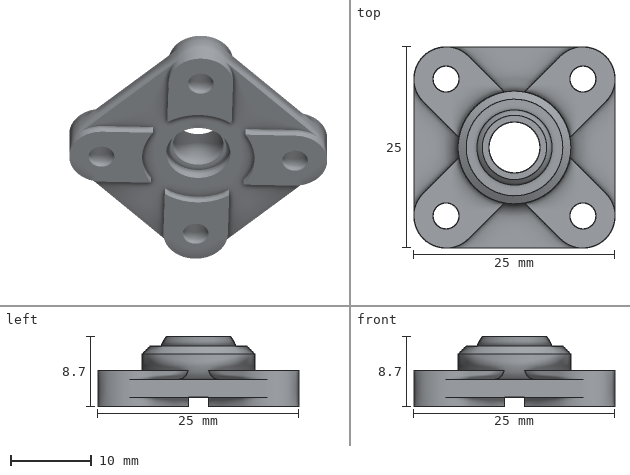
import cadquery as cq
import math

flange_width = 25.0
bolt_offset = 8.5
lug_radius = flange_width / 2 - bolt_offset
bolt_hole_diameter = 3.2
lug_height = 4.5
plate_bottom = 1.12
plate_top = 3.38

hub_radius = 7.0
hub_top = 7.5
hub_chamfer = 1.0
hub_fillet = 1.5

ball_radius = 5.0
ball_width = 6.0
ball_top = 8.7
ball_bore_radius = 3.15
ball_center = ball_top - ball_width / 2
ball_bottom = ball_top - ball_width
ball_face_radius = math.sqrt(ball_radius**2 - (ball_width / 2) ** 2)

corners = [(x, y) for x in (-bolt_offset, bolt_offset) for y in (-bolt_offset, bolt_offset)]


def make_plate():
    """Thin square plate whose corners are cut off inside the round arm ends."""
    return (
        cq.Workplane("XY", origin=(0, 0, plate_bottom))
        .rect(flange_width, flange_width)
        .extrude(plate_top - plate_bottom)
        .edges("|Z")
        .chamfer(lug_radius)
    )


def make_arms():
    """Two crossed diagonal arms with round ends, open below the plate inside the hub radius."""
    slot_length = 2 * math.hypot(bolt_offset, bolt_offset) + 2 * lug_radius
    arms = cq.Workplane("XY")
    for angle in (45, -45):
        arm = cq.Workplane("XY").slot2D(slot_length, 2 * lug_radius, angle).extrude(lug_height)
        arms = arms.union(arm)
    underside_recess = cq.Workplane("XY").circle(hub_radius).extrude(plate_bottom)
    return arms.cut(underside_recess)


def make_hub():
    """Turned hub with a chamfered rim and a concave fillet flowing onto the plate."""
    fillet_top = plate_top + hub_fillet
    arc_offset = hub_fillet * (1 - math.sqrt(0.5))
    return (
        cq.Workplane("XZ")
        .moveTo(0, plate_bottom)
        .lineTo(hub_radius + hub_fillet, plate_bottom)
        .lineTo(hub_radius + hub_fillet, plate_top)
        .threePointArc((hub_radius + arc_offset, plate_top + arc_offset), (hub_radius, fillet_top))
        .lineTo(hub_radius, hub_top - hub_chamfer)
        .lineTo(hub_radius - hub_chamfer, hub_top)
        .lineTo(0, hub_top)
        .close()
        .revolve(360, (0, 0, 0), (0, 1, 0))
    )


def make_ball_blank():
    """Sphere cut flat at both ends, without its bore."""
    return (
        cq.Workplane("XZ")
        .moveTo(0, ball_bottom)
        .lineTo(ball_face_radius, ball_bottom)
        .threePointArc((ball_radius, ball_center), (ball_face_radius, ball_top))
        .lineTo(0, ball_top)
        .close()
        .revolve(360, (0, 0, 0), (0, 1, 0))
    )


def make_ball():
    bore = cq.Workplane("XY", origin=(0, 0, ball_bottom)).circle(ball_bore_radius).extrude(ball_width)
    return make_ball_blank().cut(bore)


def make_housing():
    """Flange and hub with bolt holes, a spherical socket and an opening below the ball."""
    bolt_holes = cq.Workplane("XY").pushPoints(corners).circle(bolt_hole_diameter / 2).extrude(lug_height)
    lower_opening = cq.Workplane("XY").circle(ball_face_radius).extrude(ball_bottom)
    return (
        make_plate()
        .union(make_arms())
        .union(make_hub())
        .cut(bolt_holes)
        .cut(lower_opening)
        .cut(make_ball_blank())
    )


housing = make_housing()
ball = make_ball()

result = cq.Compound.makeCompound([housing.val(), ball.val()])